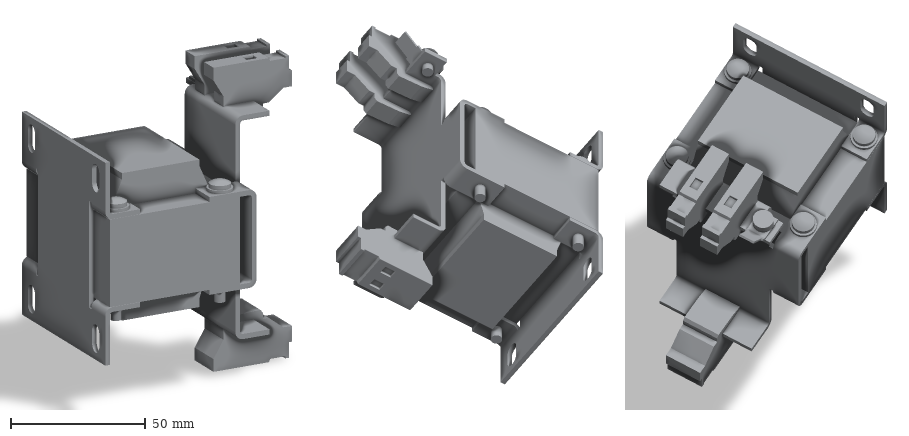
import cadquery as cq
import math

overall_width = 66.0
overall_height = 120.0
overall_depth = 92.6
half_width = overall_width / 2

sheet = 2.0
bend_radius = 3.2
tab_inner_x = 22.0
strip_half_width = 20.0

plate_thickness = 1.9
plate_height = 80.0
notch_half_height = 21.0
slot_width = 5.6
slot_length = 11.0
slot_x = 25.5
slot_z = 31.7
front_tab_end_y = 14.8
front_tab_gap = sheet - plate_thickness

core_half_height = 17.3
core_back_y = 57.0
winding_half_width = 21.7
winding_top_z = 30.4
winding_shoulder_z = 27.8
winding_bottom_z = -27.8
winding_bottom_shoulder_z = -24.5
winding_front_y = 13.1
winding_back_y = 45.8
winding_flare = 4.7
winding_bottom_flare = 2.2

bracket_front_y = 61.9
bracket_back_y = bracket_front_y + sheet
rear_tab_end_y = 44.0
relief_half_height = 15.6
flange_top_z = 44.2
flange_back_y = 76.3
ear_x = -28.0
ear_front_y = 66.6

screw_x = 27.5
screw_rows_y = (7.5, 51.4)
washer_diameter = 10.1
washer_thickness = 1.2
head_diameter = 8.4
head_side_height = 1.7
head_dome_height = 1.3
shank_diameter = 4.2
shank_bottom_z = -24.6

earth_x = -22.0
earth_y = 71.2
earth_head_diameter = 7.8
earth_head_height = 3.2
earth_shank_bottom_z = 39.2
lug_width = 7.8
lug_front_y = ear_front_y + 0.2
lug_thickness = 1.2
blade_width = 6.4
blade_thickness = 0.8
blade_shoulder = 1.9
blade_reach = 7.2

block_width = 7.5
block_front_y = 59.4
block_back_y = 91.3
block_step_z = 58.8
block_lip_z = 59.6
foot_back_y = 80.3
foot_top_z = 42.5
neck_front_y = 63.6
pocket_width = 3.4
pocket_length = 4.5
pocket_depth = 1.2
pocket_y = 76.8


def box(x_range, y_range, z_range):
    """Box between the given limits along each axis."""
    size = [high - low for low, high in (x_range, y_range, z_range)]
    corner = (x_range[0], y_range[0], z_range[0])
    return cq.Workplane("XY").box(*size, centered=False).translate(corner)


def prism_along_x(points, x_start, x_end):
    """Polygon of (y, z) points extruded from x_start to x_end."""
    plane = cq.Workplane("YZ", origin=(x_start, 0, 0))
    return plane.polyline(points).close().extrude(x_end - x_start)


def cylinder_along_z(x, y, z_bottom, z_top, diameter):
    plane = cq.Workplane("XY", origin=(x, y, z_bottom))
    return plane.circle(diameter / 2).extrude(z_top - z_bottom)


def bent_strip(x_range, y_corner, z_corner, y_end, z_end, thickness=sheet):
    """L-shaped strip; the corner is the sharp outside corner before bending."""
    y_inner = y_corner + (thickness if y_end > y_corner else -thickness)
    z_inner = z_corner + (thickness if z_end > z_corner else -thickness)
    strip = prism_along_x(
        [
            (y_corner, z_corner),
            (y_end, z_corner),
            (y_end, z_inner),
            (y_inner, z_inner),
            (y_inner, z_end),
            (y_corner, z_end),
        ],
        *x_range,
    )
    x_middle = sum(x_range) / 2
    outer_edge = cq.selectors.NearestToPointSelector((x_middle, y_corner, z_corner))
    strip = strip.edges("|X").edges(outer_edge).fillet(bend_radius)
    inner_edge = cq.selectors.NearestToPointSelector((x_middle, y_inner, z_inner))
    return strip.edges("|X").edges(inner_edge).fillet(bend_radius - thickness)


def with_mirror(body, plane):
    return body.union(body.mirror(plane))


def mounting_plate():
    plate = box(
        (-half_width, half_width),
        (0, plate_thickness),
        (-plate_height / 2, plate_height / 2),
    )
    slots = (
        cq.Workplane("XZ")
        .rect(2 * slot_x, 2 * slot_z, forConstruction=True)
        .vertices()
        .slot2D(slot_length, slot_width, 90)
        .extrude(-plate_thickness)
    )
    notch = box(
        (strip_half_width, half_width),
        (0, plate_thickness),
        (-notch_half_height, notch_half_height),
    )
    tab = bent_strip(
        (tab_inner_x, half_width),
        0,
        core_half_height + front_tab_gap,
        front_tab_end_y,
        notch_half_height,
        plate_thickness,
    )
    tabs = with_mirror(with_mirror(tab, "XY"), "YZ")
    return plate.cut(slots).cut(with_mirror(notch, "YZ")).union(tabs)


def core_and_winding():
    core = box(
        (-half_width, half_width),
        (plate_thickness, core_back_y),
        (-core_half_height, core_half_height),
    )
    winding_outline = [
        (winding_front_y, winding_top_z),
        (winding_back_y, winding_top_z),
        (winding_back_y, winding_shoulder_z),
        (winding_back_y + winding_flare, core_half_height),
        (winding_back_y + winding_bottom_flare, -core_half_height),
        (winding_back_y, winding_bottom_shoulder_z),
        (winding_back_y, winding_bottom_z),
        (winding_front_y, winding_bottom_z),
        (winding_front_y, winding_bottom_shoulder_z),
        (winding_front_y - winding_bottom_flare, -core_half_height),
        (winding_front_y - winding_flare, core_half_height),
        (winding_front_y, winding_shoulder_z),
    ]
    return core.union(prism_along_x(winding_outline, -winding_half_width, winding_half_width))


def rear_bracket():
    tab_top_z = core_half_height + sheet
    web_half_height = tab_top_z - bend_radius
    web = box(
        (-half_width, half_width),
        (bracket_front_y, bracket_back_y),
        (-web_half_height, web_half_height),
    )
    relief = box(
        (strip_half_width, tab_inner_x),
        (bracket_front_y, bracket_back_y),
        (relief_half_height, web_half_height),
    )
    web = web.cut(with_mirror(with_mirror(relief, "XY"), "YZ"))
    tab = bent_strip((tab_inner_x, half_width), bracket_back_y, tab_top_z, rear_tab_end_y, 0)
    flange = bent_strip(
        (-strip_half_width, strip_half_width), bracket_front_y, flange_top_z, flange_back_y, 0
    )
    ear = box(
        (ear_x, -strip_half_width),
        (ear_front_y, flange_back_y),
        (flange_top_z - sheet, flange_top_z),
    )
    tabs = with_mirror(with_mirror(tab, "XY"), "YZ")
    return web.union(tabs).union(with_mirror(flange, "XY")).union(ear)


def core_screw(x, y):
    washer_z = core_half_height + sheet
    head_z = washer_z + washer_thickness
    dome_z = head_z + head_side_height
    dome_top_z = dome_z + head_dome_height
    dome_radius = ((head_diameter / 2) ** 2 + head_dome_height**2) / (2 * head_dome_height)
    head_outline = (
        cq.Workplane("XZ")
        .moveTo(0, head_z)
        .lineTo(head_diameter / 2, head_z)
        .lineTo(head_diameter / 2, dome_z)
        .radiusArc((0, dome_top_z), -dome_radius)
        .close()
    )
    head = head_outline.revolve(360, (0, 0, 0), (0, 1, 0)).translate((x, y, 0))
    washer = cylinder_along_z(x, y, washer_z, head_z, washer_diameter)
    shank = cylinder_along_z(x, y, shank_bottom_z, head_z, shank_diameter)
    return shank.union(washer).union(head)


def sloped_blade(width, reach):
    """Blade rising at 45 degrees from the back edge of the lug."""
    z_thickness = blade_thickness * math.sqrt(2)
    tip_offset = blade_thickness / math.sqrt(2)
    top_z = flange_top_z + lug_thickness
    outline = [
        (flange_back_y, top_z - z_thickness),
        (flange_back_y + reach, top_z - z_thickness + reach),
        (flange_back_y + reach - tip_offset, top_z + reach - tip_offset),
        (flange_back_y, top_z),
    ]
    return prism_along_x(outline, earth_x - width / 2, earth_x + width / 2)


def earth_terminal():
    lug_top_z = flange_top_z + lug_thickness
    head_top_z = lug_top_z + earth_head_height
    lug = box(
        (earth_x - lug_width / 2, earth_x + lug_width / 2),
        (lug_front_y, flange_back_y),
        (flange_top_z, lug_top_z),
    )
    head = cylinder_along_z(earth_x, earth_y, lug_top_z, head_top_z, earth_head_diameter)
    shank = cylinder_along_z(earth_x, earth_y, earth_shank_bottom_z, lug_top_z, shank_diameter)
    blade = sloped_blade(lug_width, blade_shoulder).union(sloped_blade(blade_width, blade_reach))
    return lug.union(blade).union(head).union(shank)


def terminal_block(x_start):
    """Upper terminal block clipped over the flange, with a pocket in its top."""
    top_z = overall_height / 2
    outline = [
        (block_front_y, top_z),
        (82.8, top_z),
        (83.4, block_step_z),
        (89.8, block_step_z),
        (89.8, block_lip_z),
        (block_back_y, block_lip_z),
        (block_back_y, 53.5),
        (overall_depth, 53.5),
        (overall_depth, 47.3),
        (89.0, 47.3),
        (82.7, foot_top_z),
        (foot_back_y, foot_top_z),
        (foot_back_y, 40.0),
        (79.2, 38.8),
        (69.2, 39.2),
        (bracket_back_y, 40.5),
        (neck_front_y, flange_top_z),
        (neck_front_y, 48.0),
        (block_front_y, 55.0),
    ]
    block = prism_along_x(outline, x_start, x_start + block_width)
    pocket = cq.Workplane("XY").box(pocket_width, pocket_length, 2 * pocket_depth)
    return block.cut(pocket.translate((x_start + block_width / 2, pocket_y, top_z)))


result = mounting_plate().union(core_and_winding()).union(rear_bracket())

for x in (-screw_x, screw_x):
    for y in screw_rows_y:
        result = result.union(core_screw(x, y))

result = result.union(earth_terminal())

for x_start in (-2 * block_width, 0):
    result = result.union(terminal_block(x_start))

for x_start in (-block_width, 0):
    result = result.union(terminal_block(x_start).mirror("XY"))